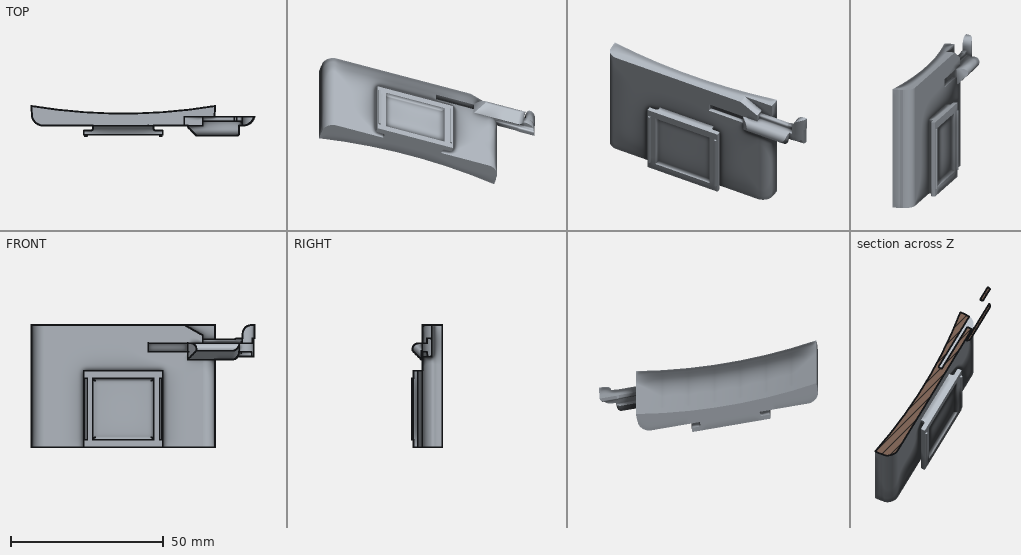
import cadquery as cq
import math

diagonal = math.sqrt(0.5)

plate_width = 60.0
plate_height = 40.0
plate_depth = 6.5
plate_mid_depth = 4.0
edge_radius = 3.9
layer_depth = 3.0
side_inset = edge_radius - math.sqrt(edge_radius**2 - (edge_radius - layer_depth) ** 2)
front_arc_angle = math.acos((edge_radius - layer_depth) / edge_radius)
side_arc_rise = math.sqrt(edge_radius**2 - (edge_radius - side_inset) ** 2)

panel_width = 25.95
panel_height = 25.1
panel_depth = 3.0
panel_stem_width = 19.8
panel_flange_back = 1.5
panel_root_radius = 0.65
panel_edge_radius = 0.4
window_size = 20.0
window_bottom = 2.55
window_depth = 1.0
window_floor_radius = 0.95
rib_width = 0.7
rib_height = 0.5
rib_edge_radius = 0.2
rib_spacing = 24.4
panel_center_x = plate_width / 2

slot_left = 38.1
slot_center_z = 32.65
neck_height = 2.8
flange_height = 6.0
rail_flange_height = 5.4
flange_front = 1.5
flange_edge_radius = 0.5
root_radius = 0.4
head_root_radius = 0.5
slot_right = plate_width - edge_radius
neck_top = slot_center_z + neck_height / 2
flange_bottom = slot_center_z - flange_height / 2
flange_top = slot_center_z + flange_height / 2

notch_top_left = 49.9
notch_corner_z = 36.6

arm_travel = 12.9
arm_left = slot_left + arm_travel
ramp_start = 66.3
ramp_end = 67.05
head_left = 68.6
head_arc_start = 68.85
tab_left = slot_right + arm_travel
end_web_left = 72.1
arm_right = 72.9
tab_arc_start = arm_right - edge_radius + side_inset
tab_corner_radius = 3.0
grip_right = 67.85
grip_gap = 0.4
grip_front = 3.3
grip_bottom = 28.7
grip_top_radius = 2.0
grip_end_radius = 2.0


def box(x_min, x_max, y_min, y_max, z_min, z_max):
    """Axis-aligned block between the given limits."""
    size = (x_max - x_min, y_max - y_min, z_max - z_min)
    return cq.Workplane("XY").box(*size, centered=False).translate((x_min, y_min, z_min))


def plate_blank():
    """Slab with rounded front edges, a planed band on each side and a hollow back."""
    half = plate_width / 2
    front_mid = (
        half - edge_radius + edge_radius * math.sin(front_arc_angle / 2),
        edge_radius - edge_radius * math.cos(front_arc_angle / 2),
    )
    band_x = half - side_inset
    side_arc_start = edge_radius + side_arc_rise
    side_mid_angle = math.asin(side_arc_rise / edge_radius) / 2
    side_mid = (
        half - edge_radius + edge_radius * math.cos(side_mid_angle),
        side_arc_start - edge_radius * math.sin(side_mid_angle),
    )
    outline = (
        cq.Workplane("XY")
        .moveTo(edge_radius - half, 0)
        .lineTo(half - edge_radius, 0)
        .threePointArc(front_mid, (band_x, layer_depth))
        .lineTo(band_x, edge_radius)
        .threePointArc(side_mid, (half, side_arc_start))
        .lineTo(half, plate_depth)
        .threePointArc((0, plate_mid_depth), (-half, plate_depth))
        .lineTo(-half, side_arc_start)
        .threePointArc((-side_mid[0], side_mid[1]), (-band_x, edge_radius))
        .lineTo(-band_x, layer_depth)
        .threePointArc((-front_mid[0], front_mid[1]), (edge_radius - half, 0))
        .close()
    )
    return outline.extrude(plate_height).translate((half, 0, 0))


def panel():
    """T-shaped mount with a round-bottomed window and two slim ribs on its face."""
    half_stem = panel_stem_width / 2
    half_flange = panel_width / 2
    stem = box(-half_stem, half_stem, -panel_depth, 0, 0, panel_height)
    flange = box(-half_flange, half_flange, -panel_depth, -panel_flange_back, 0, panel_height)
    flange = flange.edges("|Z and >Y").fillet(panel_edge_radius)
    mount = stem.union(flange)
    margin = panel_edge_radius / 2
    root = cq.selectors.BoxSelector(
        (-half_stem - margin, -panel_flange_back - margin, -margin),
        (half_stem + margin, -panel_flange_back + margin, panel_height + margin),
    )
    mount = mount.edges("|Z").edges(root).fillet(panel_root_radius)

    half_window = window_size / 2
    window_top = window_bottom + window_size
    window = box(
        -half_window, half_window, -panel_depth, window_depth - panel_depth, window_bottom, window_top
    )
    mount = mount.cut(window.faces(">Y").edges().fillet(window_floor_radius))

    for side in (-1, 1):
        rib_x = side * rib_spacing / 2
        rib = box(
            rib_x - rib_width / 2,
            rib_x + rib_width / 2,
            -panel_depth - rib_height,
            -panel_depth,
            window_bottom,
            window_top,
        )
        mount = mount.union(rib.edges("|Z and <Y").fillet(rib_edge_radius))
    return mount.translate((panel_center_x, 0, 0))


def t_outline(x, flange, root):
    """Closed T outline across X, with rounded flange edges and filleted roots."""
    half_neck = neck_height / 2
    half_flange = flange / 2
    edge = flange_edge_radius
    root_mid = root * (1 - diagonal)
    edge_mid = edge * (1 - diagonal)
    return (
        cq.Workplane("YZ", origin=(x, 0, slot_center_z))
        .moveTo(0, -half_neck)
        .lineTo(0, half_neck)
        .lineTo(flange_front - root, half_neck)
        .threePointArc(
            (flange_front - root_mid, half_neck + root_mid), (flange_front, half_neck + root)
        )
        .lineTo(flange_front, half_flange - edge)
        .threePointArc(
            (flange_front + edge_mid, half_flange - edge_mid), (flange_front + edge, half_flange)
        )
        .lineTo(layer_depth, half_flange)
        .lineTo(layer_depth, -half_flange)
        .lineTo(flange_front + edge, -half_flange)
        .threePointArc(
            (flange_front + edge_mid, edge_mid - half_flange), (flange_front, edge - half_flange)
        )
        .lineTo(flange_front, -half_neck - root)
        .threePointArc(
            (flange_front - root_mid, -half_neck - root_mid), (flange_front - root, -half_neck)
        )
        .close()
    )


def t_bar(x_min, x_max, flange, root):
    """Straight T-section bar along X."""
    return t_outline(x_min, flange, root).extrude(x_max - x_min)


def rail_ramp():
    """Short taper from the slimmer rail flange up to the full flange."""
    start = t_outline(ramp_start, rail_flange_height, root_radius).wire().val()
    end = t_outline(ramp_end, flange_height, root_radius).wire().val()
    return cq.Workplane(obj=cq.Solid.makeLoft([start, end], True))


def finger_notch():
    """Recess in the front layer: a sloped finger access and the seat of the arm's head."""
    return (
        cq.Workplane("XZ")
        .moveTo(notch_top_left, plate_height)
        .lineTo(slot_right, notch_corner_z)
        .lineTo(slot_right, flange_bottom)
        .lineTo(plate_width, flange_bottom)
        .lineTo(plate_width, plate_height)
        .close()
        .extrude(-layer_depth)
    )


def make_plate():
    slot = t_bar(slot_left, slot_right, flange_height, root_radius)
    return plate_blank().union(panel()).cut(slot).cut(finger_notch())


def rounded_end(x_min, arc_start, z_min, z_max):
    """Block with its front right edge rounded off, ending on the back of the front layer."""
    arc_mid = (
        arc_start + edge_radius * math.sin(front_arc_angle / 2),
        edge_radius - edge_radius * math.cos(front_arc_angle / 2),
    )
    arc_end = (arc_start + edge_radius * math.sin(front_arc_angle), layer_depth)
    return (
        cq.Workplane("XY", origin=(0, 0, z_min))
        .moveTo(x_min, 0)
        .lineTo(arc_start, 0)
        .threePointArc(arc_mid, arc_end)
        .lineTo(x_min, layer_depth)
        .close()
        .extrude(z_max - z_min)
    )


def arm_head():
    """End of the rail, rounded like the plate edge and closed by a web across the T."""
    section = t_bar(head_left, end_web_left, flange_height, head_root_radius)
    web = box(end_web_left, arm_right, 0, layer_depth, flange_bottom, flange_top)
    envelope = rounded_end(head_left, head_arc_start, flange_bottom, flange_top)
    return section.union(web).intersect(envelope)


def arm_tab():
    """Upright finger tab with one large rounded corner, narrower beside the web."""
    upper = rounded_end(tab_left, tab_arc_start, flange_top, plate_height)
    upper = upper.edges("|Y and <X and >Z").fillet(tab_corner_radius)
    lower = rounded_end(tab_left, tab_arc_start, neck_top, flange_top)
    lower = lower.intersect(box(tab_left, end_web_left, 0, layer_depth, neck_top, flange_top))
    return upper.union(lower)


def arm_grip():
    """Thumb grip: domed on top, undercut at 45 degrees below and bevelled on its left."""
    undercut = grip_front - grip_gap
    dome_center = (grip_top_radius - grip_front, neck_top - grip_top_radius)
    dome_mid = (
        dome_center[0] - grip_top_radius * diagonal,
        dome_center[1] + grip_top_radius * diagonal,
    )
    undercut_sum = grip_bottom - grip_gap
    cosine = (sum(dome_center) - undercut_sum) / (grip_top_radius * math.sqrt(2))
    dome_end_angle = math.pi / 4 - math.acos(cosine)
    dome_end = (
        dome_center[0] - grip_top_radius * math.cos(dome_end_angle),
        dome_center[1] - grip_top_radius * math.sin(dome_end_angle),
    )
    bar = (
        cq.Workplane("YZ", origin=(arm_left, 0, 0))
        .moveTo(-grip_gap, neck_top)
        .lineTo(dome_center[0], neck_top)
        .threePointArc(dome_mid, dome_end)
        .lineTo(-grip_gap, grip_bottom)
        .close()
        .extrude(grip_right - arm_left)
    )
    undercut_end = cq.selectors.NearestToPointSelector(
        (grip_right, -(grip_gap + grip_front) / 2, grip_bottom + undercut / 2)
    )
    bar = bar.edges(undercut_end).fillet(grip_end_radius)
    bevel = (
        cq.Workplane("XY")
        .moveTo(arm_left, -grip_gap)
        .lineTo(arm_left + undercut, -grip_front)
        .lineTo(arm_left, -grip_front)
        .close()
        .extrude(plate_height)
    )
    return bar.cut(bevel)


def make_arm():
    rail = t_bar(arm_left, ramp_start, rail_flange_height, root_radius)
    stop = t_bar(ramp_end, head_left, flange_height, root_radius)
    bridge = box(arm_left, grip_right, -grip_gap, 0, neck_top - neck_height, neck_top)
    arm = rail.union(rail_ramp()).union(stop).union(arm_head()).union(arm_tab())
    return arm.union(bridge).union(arm_grip())


plate = make_plate()
arm = make_arm()

result = cq.Compound.makeCompound([plate.val(), arm.val()])